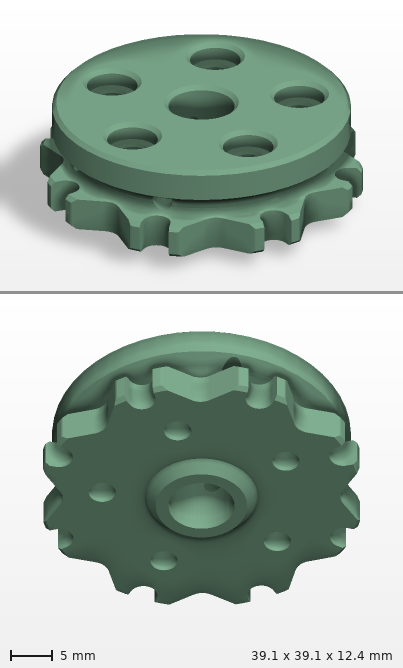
import cadquery as cq
import math

overall_width = 39.13
total_height = 12.4
edge_chamfer = 0.5

hub_height = 1.4
hub_bottom_radius = 5.5
hub_top_radius = 6.8

plate_top = 5.45
tooth_count = 8
tooth_pitch = 360 / tooth_count

slot_radius = 1.7
slot_bottom = 16.85
slot_flare = 8.0

valley_radius = 2.1
valley_bottom = 16.7
valley_half_angle = 59.5
tip_flat_distance = 19.05

neck_radius = 16.0
neck_top = 6.85
groove_radius = 0.98
neck_bottom = plate_top + groove_radius
disc_radius = 18.0
disc_bottom = 8.6

bore_radius = 4.0

bolt_count = 5
bolt_circle_radius = 11.97
bolt_radius = 1.65
counterbore_radius = 3.05
counterbore_floor = 10.33
bolt_chamfer = 0.3

pin_radius = 1.25
pin_height = 7.15
pin_angles = (45, 171, 261, 315)

flare = math.radians(slot_flare)
slot_center = slot_bottom + slot_radius
slot_tangent_along = slot_center - slot_radius * math.sin(flare)
slot_tangent_across = slot_radius * math.cos(flare)


def slot_half_width(distance):
    return slot_tangent_across + (distance - slot_tangent_along) * math.tan(flare)


tip_radius = math.hypot(overall_width / 2, slot_half_width(overall_width / 2))
cut_reach = tip_radius + 1.95


def hub_and_neck():
    """Turned core: hub cone, grooved neck and chamfered upper disc."""
    groove_center = neck_radius + groove_radius
    mid_offset = groove_radius * math.sqrt(0.5)
    fillet_mid = (groove_center - mid_offset, neck_bottom - mid_offset)
    rim_across = disc_radius - groove_center
    rim_rise = disc_bottom - neck_top
    rim_distance = math.hypot(rim_across, rim_rise)
    cone_angle = math.atan2(rim_rise, rim_across) - math.asin(groove_radius / rim_distance)
    upper_angle = math.pi / 2 - cone_angle

    def upper_point(angle):
        return (
            groove_center - groove_radius * math.cos(angle),
            neck_top + groove_radius * math.sin(angle),
        )

    return (
        cq.Workplane("XZ")
        .moveTo(0, 0)
        .lineTo(hub_bottom_radius, 0)
        .lineTo(hub_top_radius, hub_height)
        .lineTo(hub_top_radius, plate_top)
        .lineTo(groove_center, plate_top)
        .threePointArc(fillet_mid, (neck_radius, neck_bottom))
        .lineTo(neck_radius, neck_top)
        .threePointArc(upper_point(upper_angle / 2), upper_point(upper_angle))
        .lineTo(disc_radius, disc_bottom)
        .lineTo(disc_radius, total_height - edge_chamfer)
        .lineTo(disc_radius - edge_chamfer, total_height)
        .lineTo(0, total_height)
        .close()
        .revolve(360, (0, 0, 0), (0, 1, 0))
    )


def plate_cutter(outline):
    """Extrude a cutting outline through the toothed plate and the neck fillet on it."""
    return outline.close().extrude(neck_bottom - hub_height)


def slot_cutter():
    mouth = slot_half_width(cut_reach)
    return plate_cutter(
        cq.Workplane("XY", origin=(0, 0, hub_height))
        .moveTo(cut_reach, -mouth)
        .lineTo(slot_tangent_along, -slot_tangent_across)
        .threePointArc((slot_bottom, 0), (slot_tangent_along, slot_tangent_across))
        .lineTo(cut_reach, mouth)
    )


def valley_cutter():
    half_angle = math.radians(valley_half_angle)
    arc_along = valley_bottom + valley_radius * (1 - math.sin(half_angle))
    arc_across = valley_radius * math.cos(half_angle)
    flank_across = arc_across + (tip_flat_distance - arc_along) * math.tan(half_angle)
    flat_across = math.sqrt(tip_radius**2 - tip_flat_distance**2)
    return plate_cutter(
        cq.Workplane("XY", origin=(0, 0, hub_height))
        .moveTo(cut_reach, -flat_across)
        .lineTo(tip_flat_distance, -flat_across)
        .lineTo(tip_flat_distance, -flank_across)
        .lineTo(arc_along, -arc_across)
        .threePointArc((valley_bottom, 0), (arc_along, arc_across))
        .lineTo(tip_flat_distance, flank_across)
        .lineTo(tip_flat_distance, flat_across)
        .lineTo(cut_reach, flat_across)
    )


def plate_blank():
    """Round plate, chamfered on both rims, that the teeth are cut from."""
    return (
        cq.Workplane("XY", origin=(0, 0, hub_height))
        .circle(tip_radius)
        .extrude(plate_top - hub_height)
        .edges()
        .chamfer(edge_chamfer)
    )


def chamfered_bore(radius, bottom, top, chamfer):
    """Cylinder that widens by a 45 degree chamfer at its top end."""
    return (
        cq.Workplane("XZ")
        .moveTo(0, bottom)
        .lineTo(radius, bottom)
        .lineTo(radius, top - chamfer)
        .lineTo(radius + chamfer, top)
        .lineTo(0, top)
        .close()
        .revolve(360, (0, 0, 0), (0, 1, 0))
    )


def bolt_hole():
    through_hole = chamfered_bore(bolt_radius, 0, counterbore_floor, bolt_chamfer)
    counterbore = chamfered_bore(counterbore_radius, counterbore_floor, total_height, edge_chamfer)
    return through_hole.union(counterbore).translate((bolt_circle_radius, 0, 0))


def pin_hole():
    return cq.Workplane("YZ").center(0, pin_height).circle(pin_radius).extrude(disc_radius)


def turned(body, angle):
    return body.rotate((0, 0, 0), (0, 0, 1), angle)


result = hub_and_neck().union(plate_blank())
for index in range(tooth_count):
    slot_angle = index * tooth_pitch
    result = result.cut(turned(slot_cutter(), slot_angle))
    result = result.cut(turned(valley_cutter(), slot_angle + tooth_pitch / 2))

result = result.cut(chamfered_bore(bore_radius, 0, total_height, edge_chamfer))
for index in range(bolt_count):
    result = result.cut(turned(bolt_hole(), index * 360 / bolt_count))
for angle in pin_angles:
    result = result.cut(turned(pin_hole(), angle))